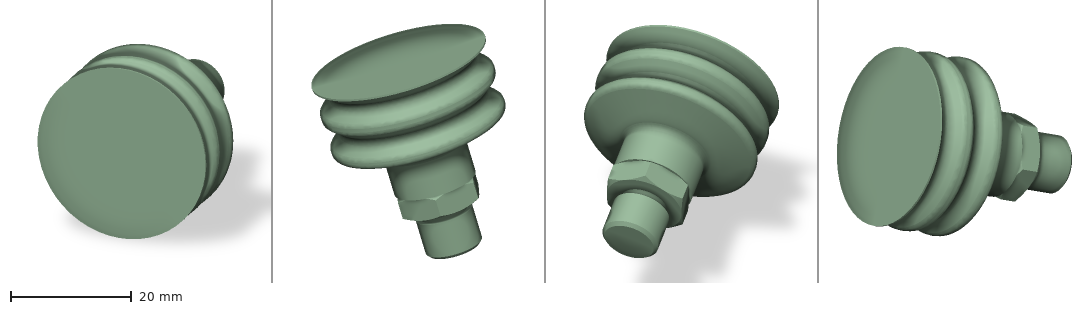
import cadquery as cq
import math

total_length = 34.0
bellows_radius = 30.0 / 2

lip_thickness = 0.35
front_valley_y = 2.62
front_valley_radius = 11.9
front_crest_start = 4.9
front_crest_end = 6.53
rear_valley_y = 8.87
rear_valley_radius = 12.17
rear_crest_start = 11.15
rear_crest_end = 12.75
crest_rounding = 1.0
valley_rounding = 0.78

neck_radius = 14.0 / 2
neck_start = 15.1
neck_end = 22.05
neck_rounding = 1.02
match_tolerance = 0.0005

hex_start = 21.95
hex_end = 26.0
hex_across_flats = 13.0
hex_across_corners = hex_across_flats / math.cos(math.pi / 6)
hex_chamfer_angle = 30.0

undercut_radius = 8.0 / 2
thread_start = 27.5
thread_radius = 9.72 / 2
thread_chamfer = 0.58


def revolve_about_y(profile):
    """Turn a closed (radius, y) profile a full turn about the Y axis."""
    return profile.close().revolve(360, (0, 0, 0), (0, 1, 0))


def round_ring(body, radius, y, rounding):
    """Round the circular edge that passes through (radius, y)."""

    def is_ring(edge):
        same_place = abs(edge.Center().y - y) < match_tolerance
        return same_place and abs(edge.radius() - radius) < match_tolerance

    edges = body.edges("%CIRCLE").filter(is_ring)
    return edges.fillet(rounding)


def make_cup():
    """Bellows and neck, with rounded crests, valleys and neck root."""
    corners = [
        (0, 0),
        (bellows_radius, 0),
        (bellows_radius, lip_thickness),
        (front_valley_radius, front_valley_y),
        (bellows_radius, front_crest_start),
        (bellows_radius, front_crest_end),
        (rear_valley_radius, rear_valley_y),
        (bellows_radius, rear_crest_start),
        (bellows_radius, rear_crest_end),
        (neck_radius, neck_start),
        (neck_radius, neck_end),
        (0, neck_end),
    ]
    cup = revolve_about_y(cq.Workplane("XY").polyline(corners))
    for y in (front_crest_start, front_crest_end, rear_crest_start, rear_crest_end):
        cup = round_ring(cup, bellows_radius, y, crest_rounding)
    cup = round_ring(cup, front_valley_radius, front_valley_y, valley_rounding)
    cup = round_ring(cup, rear_valley_radius, rear_valley_y, valley_rounding)
    return round_ring(cup, neck_radius, neck_start, neck_rounding)


def make_hexagon():
    """Hexagon with its corners turned to a cone at both ends."""
    prism = (
        cq.Workplane("XZ", origin=(0, hex_start, 0))
        .transformed(rotate=(0, 0, 90))
        .polygon(6, hex_across_corners)
        .extrude(hex_start - hex_end)
    )
    face_radius = hex_across_flats / 2
    corner_radius = hex_across_corners / 2
    cone_height = (corner_radius - face_radius) * math.tan(math.radians(hex_chamfer_angle))
    envelope = revolve_about_y(
        cq.Workplane("XY").polyline([
            (0, hex_start),
            (face_radius, hex_start),
            (corner_radius, hex_start + cone_height),
            (corner_radius, hex_end - cone_height),
            (face_radius, hex_end),
            (0, hex_end),
        ])
    )
    return prism.intersect(envelope)


def make_cylinder(radius, start, end):
    """Cylinder on the Y axis between two positions."""
    return cq.Workplane("XZ", origin=(0, start, 0)).circle(radius).extrude(start - end)


undercut = make_cylinder(undercut_radius, hex_end, thread_start)
thread = make_cylinder(thread_radius, thread_start, total_length).faces(">Y").chamfer(thread_chamfer)

result = make_cup().union(make_hexagon()).union(undercut).union(thread)